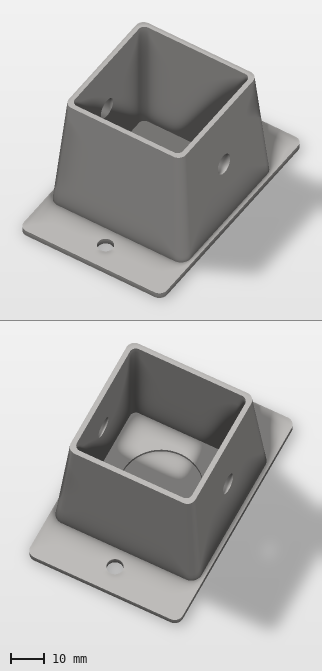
import cadquery as cq

plate_width = 50.8
plate_length = 76.2
plate_thickness = 2.0
plate_corner_radius = 2.7
screw_hole_diameter = 5.1
screw_hole_spacing = 59.9

total_height = 42.5
socket_height = total_height - plate_thickness
socket_base_side = 48.3
socket_top_side = 41.6
socket_base_radius = 3.4
socket_top_radius = 2.7

cavity_side = 38.4
cavity_corner_radius = 2.0
cavity_floor_height = plate_thickness

recess_diameter = 25.4
recess_depth = plate_thickness / 2

cross_hole_diameter = 6.6
cross_hole_height = 23.5


def rounded_square(side, radius):
    return cq.Sketch().rect(side, side).vertices().fillet(radius)


def make_plate():
    plate = cq.Workplane("XY").box(
        plate_width, plate_length, plate_thickness, centered=(True, True, False)
    )
    plate = plate.edges("|Z").fillet(plate_corner_radius)
    return (
        plate.faces(">Z")
        .workplane()
        .rarray(0.8, screw_hole_spacing, 1, 2)
        .hole(screw_hole_diameter)
    )


def make_socket():
    base = rounded_square(socket_base_side, socket_base_radius)
    top = rounded_square(socket_top_side, socket_top_radius).moved(
        cq.Location(cq.Vector(0, 0, socket_height))
    )
    return cq.Workplane("XY", origin=(0, 0, plate_thickness)).placeSketch(base, top).loft()


def make_cavity():
    return (
        cq.Workplane("XY", origin=(0, 0, cavity_floor_height))
        .placeSketch(rounded_square(cavity_side, cavity_corner_radius))
        .extrude(total_height - cavity_floor_height)
    )


def make_floor_recess():
    return (
        cq.Workplane("XY", origin=(0, 0, cavity_floor_height - recess_depth))
        .circle(recess_diameter / 2)
        .extrude(recess_depth)
    )


def make_cross_hole():
    return (
        cq.Workplane("YZ", origin=(0, 0, cross_hole_height))
        .circle(cross_hole_diameter / 2)
        .extrude(plate_width / 2, both=True)
    )


result = (
    make_plate()
    .union(make_socket())
    .cut(make_cavity())
    .cut(make_floor_recess())
    .cut(make_cross_hole())
)